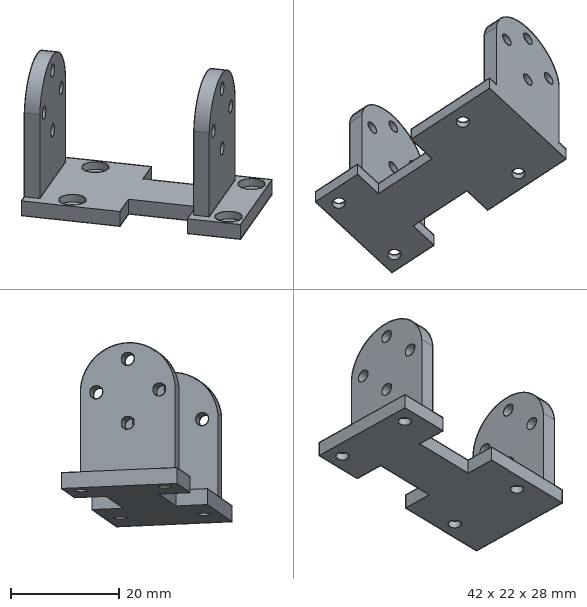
import cadquery as cq

length = 42.0
width = 22.0
thickness = 3.0
neck_start = 18.9
neck_end = 31.85
neck_width = 10.0

height = 28.0
upright_width = 18.0
shoulder_height = 19.85
upright_positions = (0.0, 32.45)

hole_diameter = 2.45
ring_radius = 6.0
ring_height = 19.0

counterbore_diameter = 5.0
counterbore_depth = 1.5
mount_positions_x = (8.95, 38.9)
mount_offset_y = 8.0


def make_base():
    base = cq.Workplane("XY").box(length, width, thickness, centered=(False, True, False))
    notch_depth = (width - neck_width) / 2
    notch_center_x = (neck_start + neck_end) / 2
    notch_center_y = (width - notch_depth) / 2
    notches = (
        cq.Workplane("XY")
        .pushPoints([(notch_center_x, side * notch_center_y) for side in (-1, 1)])
        .rect(neck_end - neck_start, notch_depth)
        .extrude(thickness)
    )
    mount_points = [(x, side * mount_offset_y) for x in mount_positions_x for side in (-1, 1)]
    return (
        base.cut(notches)
        .faces(">Z")
        .workplane(origin=(0, 0, thickness))
        .pushPoints(mount_points)
        .cboreHole(hole_diameter, counterbore_diameter, counterbore_depth)
    )


def make_upright(start_x):
    half_width = upright_width / 2
    plane = cq.Workplane("YZ", origin=(start_x, 0, 0))
    plate = (
        plane.moveTo(-half_width, 0)
        .lineTo(half_width, 0)
        .lineTo(half_width, shoulder_height)
        .threePointArc((0, height), (-half_width, shoulder_height))
        .close()
        .extrude(thickness)
    )
    holes = (
        plane.center(0, ring_height)
        .polarArray(ring_radius, 0, 360, 4)
        .circle(hole_diameter / 2)
        .extrude(thickness)
    )
    return plate.cut(holes)


result = make_base()
for position in upright_positions:
    result = result.union(make_upright(position))